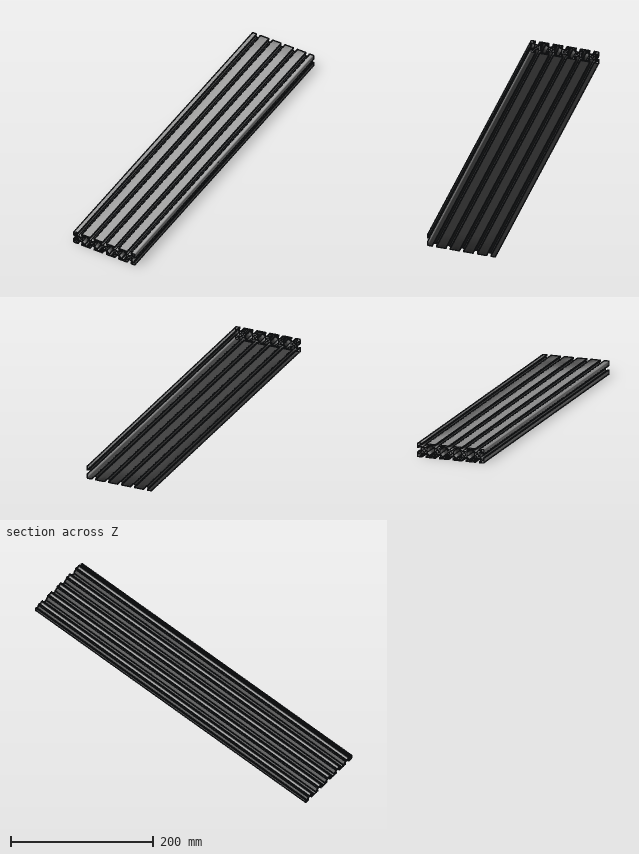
import cadquery as cq

CELL = 20.0
CELL_COUNT = 5
LENGTH = 500.0
CORNER_RADIUS = 1.5

BORE_DIAMETER = 4.2
CORE_HALF = 4.1
LIP_THICKNESS = 1.8
SLOT_HALF_OPENING = 3.1
SLOT_HALF_WIDTH = 6.0
WEB_SLOT_OFFSET = 1.5
WEB_CAVITY_OFFSET = 1.25
NECK_HALF = 2.1

WIDTH = CELL * CELL_COUNT
HALF_CELL = CELL / 2
HALF_LENGTH = LENGTH / 2
LIP_INNER = HALF_CELL - LIP_THICKNESS

cell_centers = [(i - (CELL_COUNT - 1) / 2) * CELL for i in range(CELL_COUNT)]
cavity_centers = [x + HALF_CELL for x in cell_centers[:-1]]


def prism(points):
    """Full-length bar along Y, centred on the origin, with an XZ outline."""
    return cq.Workplane("XZ").polyline(points).close().extrude(HALF_LENGTH, both=True)


def t_slot():
    """T-slot of a cell centred on the origin, opening towards +Z."""
    right_side = [
        (CORE_HALF - WEB_SLOT_OFFSET, CORE_HALF),
        (SLOT_HALF_WIDTH, SLOT_HALF_WIDTH + WEB_SLOT_OFFSET),
        (SLOT_HALF_WIDTH, LIP_INNER),
        (SLOT_HALF_OPENING, LIP_INNER),
        (SLOT_HALF_OPENING, HALF_CELL),
    ]
    left_side = [(-x, z) for x, z in reversed(right_side)]
    return prism(right_side + left_side)


def cavity():
    """Cavity between two cores, narrowing along the webs to a straight neck above and below."""
    side_x = HALF_CELL - CORE_HALF
    side_z = CORE_HALF - WEB_CAVITY_OFFSET
    neck_z = HALF_CELL - WEB_CAVITY_OFFSET - NECK_HALF
    right_side = [(side_x, side_z), (NECK_HALF, neck_z), (NECK_HALF, LIP_INNER)]
    left_side = [(-x, z) for x, z in reversed(right_side)]
    upper = right_side + left_side
    lower = [(-x, -z) for x, z in upper]
    return prism(upper + lower)


def bore():
    return cq.Workplane("XZ").circle(BORE_DIAMETER / 2).extrude(HALF_LENGTH, both=True)


def turned_slot(angle):
    """T-slot turned about the cell axis."""
    return t_slot().rotate((0, 0, 0), (0, 1, 0), angle)


result = cq.Workplane("XY").box(WIDTH, LENGTH, CELL).edges("|Y").fillet(CORNER_RADIUS)

for x in cell_centers:
    for cutter in (bore(), turned_slot(0), turned_slot(180)):
        result = result.cut(cutter.translate((x, 0, 0)))

result = result.cut(turned_slot(90).translate((cell_centers[-1], 0, 0)))
result = result.cut(turned_slot(-90).translate((cell_centers[0], 0, 0)))

for x in cavity_centers:
    result = result.cut(cavity().translate((x, 0, 0)))